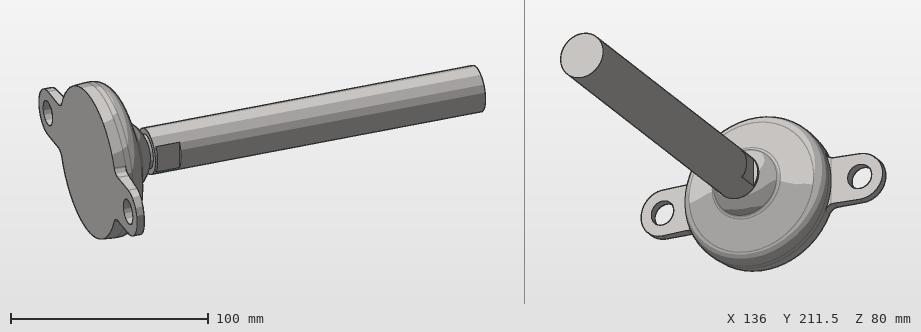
import cadquery as cq
import math


total_height = 211.5
total_span = 136.0

foot_radius = 40.0
skirt_height = 6.0
skirt_draft = 5.0
shoulder_start = 9.0
shoulder_radius = 7.5
cone_slope = 20.0
cone_top_radius = 19.2
dome_start_radius = 17.7
dome_start_height = 23.0
dome_top_height = 32.4
blend_radius = 3.1

ear_width = 25.0
ear_tip_height = 4.0
ear_hole_diameter = 13.0
ear_fillet = 5.0

rod_radius = 12.0
rod_bottom = 32.0
neck_radius = 9.0
neck_bottom_radius = 7.2
neck_bottom = 30.8

flats_width = 19.0
flats_bottom = 33.2
flats_top = 46.0

sole_radius = foot_radius - skirt_height * math.tan(math.radians(skirt_draft))
dome_height = dome_top_height - dome_start_height
dome_radius = (dome_start_radius**2 + dome_height**2) / (2 * dome_height)
ear_radius = ear_width / 2
ear_reach = total_span / 2
ear_centre = ear_reach - ear_radius


def revolve_about_y(profile):
    """Revolve a closed XY profile a full turn about the Y axis."""
    return profile.close().revolve(360, (0, 0, 0), (0, 1, 0))


def make_base():
    """Drafted skirt with two ears that thin out toward their tips."""
    skirt = revolve_about_y(
        cq.Workplane("XY")
        .lineTo(sole_radius, 0)
        .lineTo(foot_radius, skirt_height)
        .lineTo(0, skirt_height)
    )
    ears = cq.Workplane("XZ").slot2D(total_span, ear_width).extrude(-skirt_height)
    base = skirt.union(ears)

    base = base.edges("%HYPERBOLA").fillet(ear_fillet)

    envelope = (
        cq.Workplane("XY")
        .moveTo(-ear_reach, 0)
        .lineTo(ear_reach, 0)
        .lineTo(ear_reach, ear_tip_height)
        .lineTo(foot_radius, skirt_height)
        .lineTo(-foot_radius, skirt_height)
        .lineTo(-ear_reach, ear_tip_height)
        .close()
        .extrude(foot_radius, both=True)
    )
    holes = (
        cq.Workplane("XZ")
        .pushPoints([(-ear_centre, 0), (ear_centre, 0)])
        .circle(ear_hole_diameter / 2)
        .extrude(-skirt_height)
    )
    return base.intersect(envelope).cut(holes)


def make_body():
    """Rounded shoulder, cone and dome above the skirt."""
    arc_centre_x = foot_radius - shoulder_radius

    def shoulder_point(angle):
        a = math.radians(angle)
        return (
            arc_centre_x + shoulder_radius * math.cos(a),
            shoulder_start + shoulder_radius * math.sin(a),
        )

    arc_end_angle = 90 - cone_slope
    arc_end = shoulder_point(arc_end_angle)
    cone_rise = (arc_end[0] - cone_top_radius) * math.tan(math.radians(cone_slope))
    return revolve_about_y(
        cq.Workplane("XY")
        .moveTo(0, skirt_height)
        .lineTo(foot_radius, skirt_height)
        .lineTo(foot_radius, shoulder_start)
        .threePointArc(shoulder_point(arc_end_angle / 2), arc_end)
        .lineTo(cone_top_radius, arc_end[1] + cone_rise)
        .radiusArc((dome_start_radius, dome_start_height), blend_radius)
        .radiusArc((0, dome_top_height), -dome_radius)
    )


def make_rod():
    """Plain rod with a tapered neck and two wrench flats facing +X and -X."""
    rod = revolve_about_y(
        cq.Workplane("XY")
        .moveTo(0, neck_bottom)
        .lineTo(neck_bottom_radius, neck_bottom)
        .lineTo(neck_radius, rod_bottom)
        .lineTo(rod_radius, rod_bottom)
        .lineTo(rod_radius, total_height)
        .lineTo(0, total_height)
    )
    flat_depth = rod_radius - flats_width / 2
    flat_centre_x = rod_radius - flat_depth / 2
    flats = (
        cq.Workplane("XY")
        .pushPoints([
            (side * flat_centre_x, (flats_bottom + flats_top) / 2) for side in (-1, 1)
        ])
        .rect(flat_depth, flats_top - flats_bottom)
        .extrude(rod_radius, both=True)
    )
    return rod.cut(flats)


result = make_base().union(make_body()).union(make_rod())